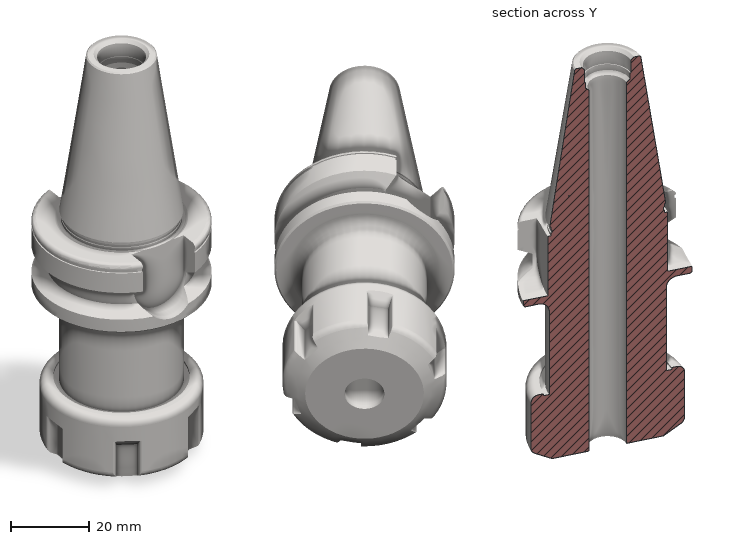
import cadquery as cq
import math


TOTAL_HEIGHT = 118.4
ARC_MIDDLE = math.sqrt(0.5)

GAUGE_Z = 71.3
GAUGE_RADIUS = 15.9
TAPER_PER_LENGTH = 7 / 24
TIP_CHAMFER = 0.4
NECK_RADIUS = 15.5
NECK_GROOVE_RADIUS = 15.3
NECK_GROOVE_BOTTOM_Z = 69.5
NECK_GROOVE_TOP_Z = 70.3

FLANGE_DIAMETER = 46.0
FLANGE_RADIUS = FLANGE_DIAMETER / 2
FLANGE_TOP_Z = 69.0
FLANGE_BOTTOM_Z = 48.3
FLANGE_TOP_FILLET = 1.2
FLANGE_BOTTOM_CHAMFER = 0.5
RECESS_RADIUS = 17.0
RECESS_FLOOR_RADIUS = 16.3
RECESS_DEPTH = 0.4
RING_GROOVE_Z = 66.5
RING_GROOVE_WIDTH = 1.1
RING_GROOVE_DEPTH = 0.4
V_GROOVE_RADIUS = 19.2
V_GROOVE_BOTTOM_Z = 54.7
V_GROOVE_TOP_Z = 58.4
V_GROOVE_FLANK_ANGLE = 30.0

KEYWAY_WIDTH = 16.1
KEYWAY_FACE_X = 16.3
KEYWAY_BOTTOM_Z = 50.4

BODY_RADIUS = 16.0
BODY_BOTTOM_Z = 3.5
BODY_FILLET = 2.8

NUT_RADIUS = 21.0
NUT_TOP_Z = 20.6
NUT_TOP_FILLET = 2.1
NUT_BOTTOM_RADIUS = 15.2
NUT_CONE_ANGLE = 30.0
NUT_BOTTOM_FILLET = 2.1
NUT_GAP_RADIUS = 17.4
NUT_GAP_DEPTH = 0.6

SLOT_COUNT = 6
SLOT_FLOOR_RADIUS = 18.0
SLOT_FLOOR_WIDTH = 5.2
SLOT_THROAT_WIDTH = 6.2
SLOT_MOUTH_WIDTH = 7.5
SLOT_HEIGHT = 14.2
SLOT_EXTRA_HEIGHT = 2.0

BORE_RADIUS = 5.1
COUNTERBORE_RADIUS = 6.3
COUNTERBORE_DEPTH = 4.7
PILOT_RADIUS = 6.0
PILOT_DEPTH = 6.5
MOUTH_CHAMFER = 0.8


def shank_radius(z):
    """Radius of the taper shank at height z."""
    return GAUGE_RADIUS - (z - GAUGE_Z) * TAPER_PER_LENGTH / 2


def make_holder():
    """Revolved taper shank, flange and body."""
    flank_height = (FLANGE_RADIUS - V_GROOVE_RADIUS) * math.tan(math.radians(V_GROOVE_FLANK_ANGLE))
    ring_groove_top = RING_GROOVE_Z + RING_GROOVE_WIDTH
    ring_groove_radius = FLANGE_RADIUS - RING_GROOVE_DEPTH
    tip_shoulder_z = TOTAL_HEIGHT - TIP_CHAMFER
    profile = (
        cq.Workplane("XZ")
        .moveTo(0, BODY_BOTTOM_Z)
        .lineTo(BODY_RADIUS, BODY_BOTTOM_Z)
        .lineTo(BODY_RADIUS, FLANGE_BOTTOM_Z - BODY_FILLET)
        .threePointArc(
            (
                BODY_RADIUS + BODY_FILLET * (1 - ARC_MIDDLE),
                FLANGE_BOTTOM_Z - BODY_FILLET * (1 - ARC_MIDDLE),
            ),
            (BODY_RADIUS + BODY_FILLET, FLANGE_BOTTOM_Z),
        )
        .lineTo(FLANGE_RADIUS - FLANGE_BOTTOM_CHAMFER, FLANGE_BOTTOM_Z)
        .lineTo(FLANGE_RADIUS, FLANGE_BOTTOM_Z + FLANGE_BOTTOM_CHAMFER)
        .lineTo(FLANGE_RADIUS, V_GROOVE_BOTTOM_Z - flank_height)
        .lineTo(V_GROOVE_RADIUS, V_GROOVE_BOTTOM_Z)
        .lineTo(V_GROOVE_RADIUS, V_GROOVE_TOP_Z)
        .lineTo(FLANGE_RADIUS, V_GROOVE_TOP_Z + flank_height)
        .lineTo(FLANGE_RADIUS, RING_GROOVE_Z)
        .lineTo(ring_groove_radius, RING_GROOVE_Z)
        .lineTo(ring_groove_radius, ring_groove_top)
        .lineTo(FLANGE_RADIUS, ring_groove_top)
        .lineTo(FLANGE_RADIUS, FLANGE_TOP_Z - FLANGE_TOP_FILLET)
        .threePointArc(
            (
                FLANGE_RADIUS - FLANGE_TOP_FILLET * (1 - ARC_MIDDLE),
                FLANGE_TOP_Z - FLANGE_TOP_FILLET * (1 - ARC_MIDDLE),
            ),
            (FLANGE_RADIUS - FLANGE_TOP_FILLET, FLANGE_TOP_Z),
        )
        .lineTo(RECESS_RADIUS, FLANGE_TOP_Z)
        .lineTo(RECESS_FLOOR_RADIUS, FLANGE_TOP_Z - RECESS_DEPTH)
        .lineTo(NECK_RADIUS, FLANGE_TOP_Z - RECESS_DEPTH)
        .lineTo(NECK_RADIUS, NECK_GROOVE_BOTTOM_Z)
        .lineTo(NECK_GROOVE_RADIUS, NECK_GROOVE_BOTTOM_Z)
        .lineTo(NECK_GROOVE_RADIUS, NECK_GROOVE_TOP_Z)
        .lineTo(NECK_RADIUS, NECK_GROOVE_TOP_Z)
        .lineTo(NECK_RADIUS, GAUGE_Z)
        .lineTo(GAUGE_RADIUS, GAUGE_Z)
        .lineTo(shank_radius(tip_shoulder_z), tip_shoulder_z)
        .lineTo(shank_radius(tip_shoulder_z) - TIP_CHAMFER, TOTAL_HEIGHT)
        .lineTo(0, TOTAL_HEIGHT)
        .close()
    )
    return profile.revolve(360, (0, 0, 0), (0, 1, 0))


def make_keyway(side):
    """Round-bottomed keyway cutter for one side, side = +1 or -1 along X."""
    round_center_z = KEYWAY_BOTTOM_Z + KEYWAY_WIDTH / 2
    reach = FLANGE_RADIUS
    cutter_height = TOTAL_HEIGHT - round_center_z
    straight = cq.Workplane("XY").box(reach, KEYWAY_WIDTH, cutter_height, centered=(False, True, False))
    rounded = cq.Workplane("YZ").circle(KEYWAY_WIDTH / 2).extrude(reach)
    cutter = straight.union(rounded).translate((KEYWAY_FACE_X, 0, round_center_z))
    return cutter if side > 0 else cutter.mirror("YZ")


def make_nut_blank():
    """Nut body with a rounded top edge and a blended conical lower end."""
    cone_height = (NUT_RADIUS - NUT_BOTTOM_RADIUS) * math.tan(math.radians(NUT_CONE_ANGLE))
    blank = (
        cq.Workplane("XZ")
        .lineTo(NUT_BOTTOM_RADIUS, 0)
        .lineTo(NUT_RADIUS, cone_height)
        .lineTo(NUT_RADIUS, NUT_TOP_Z)
        .lineTo(0, NUT_TOP_Z)
        .close()
        .revolve(360, (0, 0, 0), (0, 1, 0))
    )
    blank = blank.faces(">Z").edges().fillet(NUT_TOP_FILLET)
    cone_corner = cq.selectors.NearestToPointSelector((0, 0, cone_height))
    blank = blank.edges("%CIRCLE").edges(cone_corner).fillet(NUT_BOTTOM_FILLET)
    gap = (
        cq.Workplane("XY", origin=(0, 0, NUT_TOP_Z - NUT_GAP_DEPTH))
        .circle(NUT_GAP_RADIUS)
        .extrude(NUT_GAP_DEPTH)
    )
    return blank.cut(gap)


def make_slot(angle):
    """Flared slot cutter with a 45 degree roof, pointing along the given angle."""
    height = SLOT_HEIGHT
    if math.sin(math.radians(angle)) > 0:
        height += SLOT_EXTRA_HEIGHT
    depth = NUT_RADIUS - SLOT_FLOOR_RADIUS
    outer_x = SLOT_FLOOR_RADIUS + 2 * depth
    half_floor = SLOT_FLOOR_WIDTH / 2
    half_throat = SLOT_THROAT_WIDTH / 2
    half_mouth = SLOT_MOUTH_WIDTH / 2
    mouth_x = math.sqrt(NUT_RADIUS**2 - half_mouth**2)
    lip_radius = half_mouth - half_throat
    throat_x = mouth_x - lip_radius
    lip_middle_x = throat_x + lip_radius * ARC_MIDDLE
    lip_middle_y = half_mouth - lip_radius * ARC_MIDDLE
    plan = (
        cq.Workplane("XY")
        .moveTo(SLOT_FLOOR_RADIUS, -half_floor)
        .lineTo(throat_x, -half_throat)
        .threePointArc((lip_middle_x, -lip_middle_y), (mouth_x, -half_mouth))
        .lineTo(outer_x, -half_mouth)
        .lineTo(outer_x, half_mouth)
        .lineTo(mouth_x, half_mouth)
        .threePointArc((lip_middle_x, lip_middle_y), (throat_x, half_throat))
        .lineTo(SLOT_FLOOR_RADIUS, half_floor)
        .close()
        .extrude(NUT_TOP_Z)
    )
    elevation = (
        cq.Workplane("XZ")
        .moveTo(SLOT_FLOOR_RADIUS, 0)
        .lineTo(outer_x, 0)
        .lineTo(outer_x, height + depth)
        .lineTo(SLOT_FLOOR_RADIUS, height - depth)
        .close()
        .extrude(NUT_RADIUS, both=True)
    )
    return plan.intersect(elevation).rotate((0, 0, 0), (0, 0, 1), angle)


def make_nut():
    nut = make_nut_blank()
    for index in range(SLOT_COUNT):
        nut = nut.cut(make_slot(-90 + index * 360 / SLOT_COUNT))
    return nut


def make_bore():
    """Through bore with a stepped counterbore and chamfered mouth at the shank tip."""
    ledge_z = TOTAL_HEIGHT - COUNTERBORE_DEPTH
    pilot_z = TOTAL_HEIGHT - PILOT_DEPTH
    countersink = PILOT_RADIUS - BORE_RADIUS
    return (
        cq.Workplane("XZ")
        .lineTo(BORE_RADIUS, 0)
        .lineTo(BORE_RADIUS, pilot_z - countersink)
        .lineTo(PILOT_RADIUS, pilot_z)
        .lineTo(PILOT_RADIUS, ledge_z)
        .lineTo(COUNTERBORE_RADIUS, ledge_z)
        .lineTo(COUNTERBORE_RADIUS, TOTAL_HEIGHT - MOUTH_CHAMFER)
        .lineTo(COUNTERBORE_RADIUS + MOUTH_CHAMFER, TOTAL_HEIGHT)
        .lineTo(0, TOTAL_HEIGHT)
        .close()
        .revolve(360, (0, 0, 0), (0, 1, 0))
    )


holder = make_holder()
for side in (1, -1):
    holder = holder.cut(make_keyway(side))

result = holder.union(make_nut()).cut(make_bore())